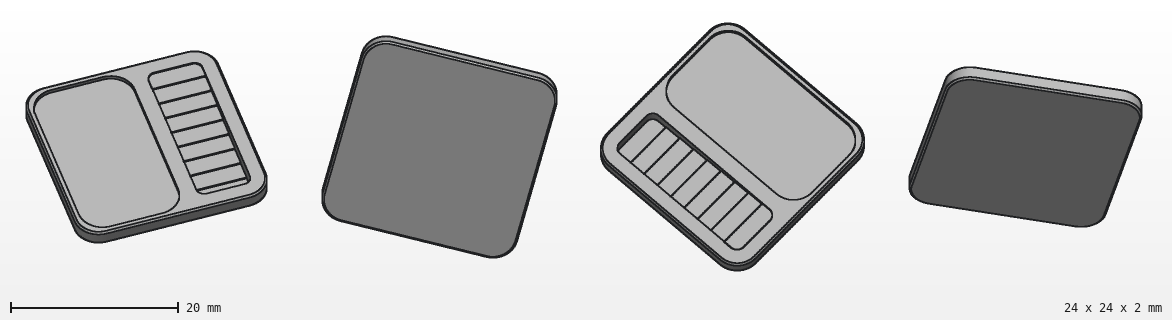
import cadquery as cq

side = 24.0
thickness = 2.0
corner_radius = 3.0
edge_chamfer = 0.25

tray_width = 22.5
tray_length = 12.5
tray_depth = 0.5
tray_margin = 0.75
tray_radius = 3.0

pocket_width = 20.0
pocket_length = 6.75
pocket_depth = 1.8
pocket_margin = 2.0
pocket_radius = 1.0
step_count = 9
step_width = pocket_width / step_count
step_drop = pocket_depth / step_count


def rounded_recess(width, length, depth, radius, center_y):
    """Rounded rectangular cutter reaching down from the top face."""
    return (
        cq.Workplane("XY", origin=(0, center_y, thickness))
        .rect(width, length)
        .extrude(-depth)
        .edges("|Z")
        .fillet(radius)
    )


plate = (
    cq.Workplane("XY")
    .rect(side, side)
    .extrude(thickness)
    .edges("|Z")
    .fillet(corner_radius)
    .faces("<Z or >Z")
    .edges()
    .chamfer(edge_chamfer)
)

tray_center_y = -side / 2 + tray_margin + tray_length / 2
tray = rounded_recess(tray_width, tray_length, tray_depth, tray_radius, tray_center_y)

pocket_center_y = side / 2 - pocket_margin - pocket_length / 2
pocket = rounded_recess(pocket_width, pocket_length, pocket_depth, pocket_radius, pocket_center_y)


def floor_staircase():
    """Steps standing on the deepest pocket floor, each one drop lower than the one before it."""
    profile = cq.Workplane("XZ", origin=(-pocket_width / 2, pocket_center_y + pocket_length / 2, 0))
    profile = profile.moveTo(0, thickness - pocket_depth)
    for step in range(1, step_count):
        tread_height = thickness - step * step_drop
        profile = profile.lineTo((step - 1) * step_width, tread_height)
        profile = profile.lineTo(step * step_width, tread_height)
    profile = profile.lineTo((step_count - 1) * step_width, thickness - pocket_depth)
    return profile.close().extrude(pocket_length)


stepped_pocket = pocket.cut(floor_staircase())

result = plate.cut(tray).cut(stepped_pocket)